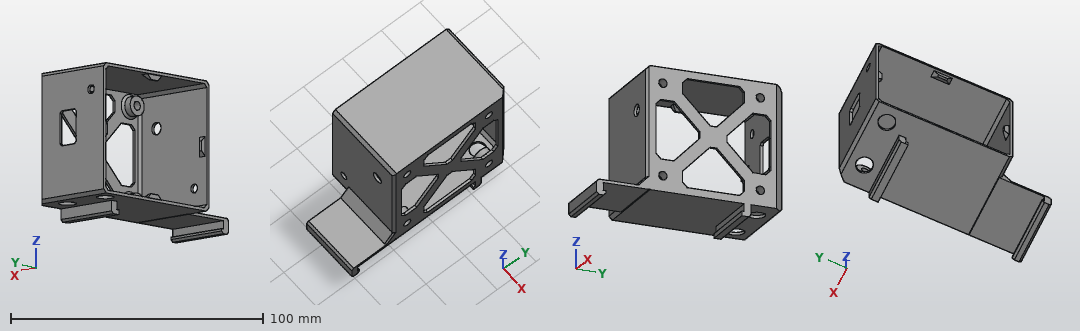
import cadquery as cq
import math

BOX_DEPTH = 38.0
BOX_LENGTH = 60.0
BOX_HEIGHT = 52.5
WALL = 1.2
EDGE_CHAMFER = 1.5
BACK_CHAMFER = 4.0
FRONT_CHAMFER = 1.1
MID_Y = BOX_LENGTH / 2
MID_Z = BOX_HEIGHT / 2
PLATE_INNER = BOX_DEPTH - WALL

BOSS_MID_Y = 28.0
BOSS_SPACING_Y = 42.0
BOSS_SPACING_Z = 39.1
BOSS_DIAMETER = 8.0
BOSS_HEIGHT = 4.0
BOSS_FLARE = 1.0
SCREW_HOLE = 3.5

TRUSS_Y = 28.8
TRUSS_HALF_Y = 24.7
TRUSS_HALF_Z = 23.0
LEVEL_WINDOW_HALF = 13.3
SIDE_WINDOW_HALF = 12.6
LEVEL_WINDOW_TIP = 4.5
SIDE_WINDOW_TIP = 5.9
TIP_HALF = 1.4
WINDOW_CHAMFER = 2.0

TAB_BASE = 8.0
TAB_TOP = 4.0
TAB_HEIGHT = 2.0
TAB_SETBACK = 1.0
TAB_RIDGE = 1.0

NEAR_X = 7.0
FAR_X = 27.8
SMALL_HOLE = 3.5
SMALL_HOLE_INSET = 10.0
CABLE_HOLE = 5.0
CABLE_HOLE_Z = 36.7
FLOOR_HOLE = 7.0
FLOOR_HOLE_Y = 51.8
PORT_X = 15.3
PORT_Z = 21.7
PORT_WIDTH = 9.0
PORT_HEIGHT = 14.0
PORT_CHAMFER = 1.0

CLIP_WIDTH = 28.0
CLIP_START = BOX_DEPTH - CLIP_WIDTH
CLIP_REACH = 21.6
CLIP_DROP = 5.2
CLIP_SPAN = 60.6
LEG = 3.0
LIP = 1.0
LIP_HEIGHT = 1.95
CLIP_CHAMFER = 1.0
GUSSET = 4.2
GUSSET_BEVEL = 0.7


def prism_x(outline, x0, x1):
    """Prism along X from an outline of (Y, Z) points."""
    return cq.Workplane("YZ").workplane(offset=x0).polyline(outline).close().extrude(x1 - x0)


def chamfered_block(inset, depth):
    """Block from X = 0, set in from the box outline, with chamfered long and plate edges."""
    near, far = inset, BOX_LENGTH - inset
    height = BOX_HEIGHT - 2 * inset
    block = (
        cq.Workplane("XY")
        .box(depth, far - near, height, centered=False)
        .edges("|X")
        .chamfer(EDGE_CHAMFER)
    )
    plan = (
        cq.Workplane("XY")
        .polyline([
            (0, near), (depth - FRONT_CHAMFER, near), (depth, near + FRONT_CHAMFER),
            (depth, far - BACK_CHAMFER), (depth - BACK_CHAMFER, far), (0, far),
        ])
        .close()
        .extrude(height)
    )
    return block.translate((0, near, 0)).intersect(plan).translate((0, 0, inset))


def shell():
    return chamfered_block(0, BOX_DEPTH).cut(chamfered_block(WALL, PLATE_INNER))


def window_outline(edge, half, tip):
    """Window pointing at the truss centre, as (distance from the centre, sideways) points."""
    shoulder = tip + half - TIP_HALF
    one_side = [
        (tip, TIP_HALF), (shoulder, half),
        (edge - WINDOW_CHAMFER, half), (edge, half - WINDOW_CHAMFER),
    ]
    return one_side + [(along, -across) for along, across in reversed(one_side)]


def truss_windows():
    side = window_outline(TRUSS_HALF_Y, SIDE_WINDOW_HALF, SIDE_WINDOW_TIP)
    level = window_outline(TRUSS_HALF_Z, LEVEL_WINDOW_HALF, LEVEL_WINDOW_TIP)
    windows = []
    for sign in (-1, 1):
        side_points = [(TRUSS_Y + sign * along, MID_Z + across) for along, across in side]
        level_points = [(TRUSS_Y + across, MID_Z + sign * along) for along, across in level]
        windows.append(prism_x(side_points, PLATE_INNER, BOX_DEPTH))
        windows.append(prism_x(level_points, PLATE_INNER, BOX_DEPTH))
    return windows


def boss_centres():
    """(Y, Z) centres of the four bosses."""
    return [
        (BOSS_MID_Y + i * BOSS_SPACING_Y / 2, MID_Z + j * BOSS_SPACING_Z / 2)
        for i in (-1, 1)
        for j in (-1, 1)
    ]


def bosses():
    """Drilled posts standing on the plate, each with a 45 degree flare at its root."""
    radius = BOSS_DIAMETER / 2
    half_profile = [
        (0, 0), (radius + BOSS_FLARE, 0), (radius, BOSS_FLARE), (radius, BOSS_HEIGHT), (0, BOSS_HEIGHT),
    ]
    post = cq.Workplane("XZ").polyline(half_profile).close().revolve(360, (0, 0), (0, 1))
    post = post.rotate((0, 0, 0), (0, 1, 0), -90)
    return [post.translate((PLATE_INNER, y, z)) for y, z in boss_centres()]


def screw_holes():
    start = PLATE_INNER - BOSS_HEIGHT
    drill = cq.Workplane("YZ").circle(SCREW_HOLE / 2).extrude(BOSS_HEIGHT + WALL)
    return [drill.translate((start, y, z)) for y, z in boss_centres()]


def snap_tabs():
    """Tabs on all four sides, upright toward the open face, sloping down to the wall behind."""
    side_slope = (TAB_BASE - TAB_TOP) / 2 / TAB_HEIGHT
    root = WALL / 2
    half_root = TAB_BASE / 2 + root * side_slope
    half_top = TAB_TOP / 2
    ridge_end = TAB_SETBACK + TAB_RIDGE
    back = ridge_end + TAB_HEIGHT
    tabs = []
    for half_span, angle in ((MID_Z, 0), (MID_Y, 90), (MID_Z, 180), (MID_Y, 270)):
        surface = WALL - half_span
        foot = surface - root
        crest = surface + TAB_HEIGHT
        bar = prism_x(
            [(-half_root, foot), (half_root, foot), (half_top, crest), (-half_top, crest)],
            TAB_SETBACK, back,
        )
        side_profile = (
            cq.Workplane("XZ")
            .polyline([
                (TAB_SETBACK, foot), (TAB_SETBACK, crest), (ridge_end, crest), (back, surface), (back, foot),
            ])
            .close()
            .extrude(half_root, both=True)
        )
        tab = bar.intersect(side_profile).rotate((0, 0, 0), (1, 0, 0), angle)
        tabs.append(tab.translate((0, MID_Y, MID_Z)))
    return tabs


def wall_hole(plane, centre, diameter):
    """Drill through one wall, centred on its outer face."""
    return cq.Workplane(plane, origin=centre).circle(diameter / 2).extrude(2 * WALL, both=True)


def wall_openings():
    port = (
        cq.Workplane("XY")
        .box(PORT_WIDTH, WALL, PORT_HEIGHT, centered=False)
        .edges("|Y")
        .chamfer(PORT_CHAMFER)
        .translate((PORT_X, BOX_LENGTH - WALL, PORT_Z))
    )
    return [
        port,
        wall_hole("XZ", (NEAR_X, 0, SMALL_HOLE_INSET), SMALL_HOLE),
        wall_hole("XZ", (NEAR_X, BOX_LENGTH, BOX_HEIGHT - SMALL_HOLE_INSET), SMALL_HOLE),
        wall_hole("XZ", (FAR_X, 0, CABLE_HOLE_Z), CABLE_HOLE),
        wall_hole("XY", (NEAR_X, FLOOR_HOLE_Y, 0), FLOOR_HOLE),
        wall_hole("XY", (FAR_X, FLOOR_HOLE_Y, 0), FLOOR_HOLE),
    ]


def clip_tongue():
    """Tongue beyond the front wall, ending in a leg with an inward lip."""
    tip = -CLIP_REACH
    leg_inner = tip + LEG
    lip_end = leg_inner + LIP
    bottom = -CLIP_DROP
    lip_top = bottom + LIP_HEIGHT
    c = CLIP_CHAMFER
    outline = [
        (WALL, WALL), (WALL, 0), (leg_inner, 0), (leg_inner, lip_top), (lip_end, lip_top),
        (lip_end, bottom + c), (lip_end - c, bottom), (tip + c, bottom), (tip, bottom + c),
        (tip, WALL - c), (tip + c, WALL),
    ]
    return prism_x(outline, CLIP_START, BOX_DEPTH)


def clip_hook():
    """Leg under the floor, with its lip facing the tongue."""
    leg_inner = LEG - CLIP_REACH + CLIP_SPAN
    leg_outer = leg_inner + LEG
    lip_end = leg_inner - LIP
    bottom = -CLIP_DROP
    lip_top = bottom + LIP_HEIGHT
    outline = [
        (leg_inner, WALL), (leg_inner, lip_top), (lip_end, lip_top), (lip_end, bottom),
        (leg_outer - CLIP_CHAMFER, bottom), (leg_outer, bottom + CLIP_CHAMFER), (leg_outer, WALL),
    ]
    return prism_x(outline, CLIP_START, BOX_DEPTH)


def gusset():
    """45 degree rib between the tongue and the front wall, bevelled at its plate end."""
    foot = WALL / 2
    top = WALL + GUSSET
    rib = prism_x([(WALL, foot), (foot - top, foot), (0, top), (WALL, top)], CLIP_START, BOX_DEPTH)
    slope_plane = cq.Plane((BOX_DEPTH, 0, top), xDir=(1, 0, 0), normal=(0, -1, -1))
    bevel = (
        cq.Workplane(slope_plane)
        .polyline([
            (-GUSSET_BEVEL, 0), (0, -GUSSET_BEVEL / math.sqrt(2)), (GUSSET_BEVEL, 0), (0, GUSSET_BEVEL),
        ])
        .close()
        .extrude(2 * top, both=True)
    )
    return rib.cut(bevel)


result = shell()
for body in [clip_tongue(), clip_hook(), gusset()] + bosses() + snap_tabs():
    result = result.union(body)
for cutter in truss_windows() + screw_holes() + wall_openings():
    result = result.cut(cutter)